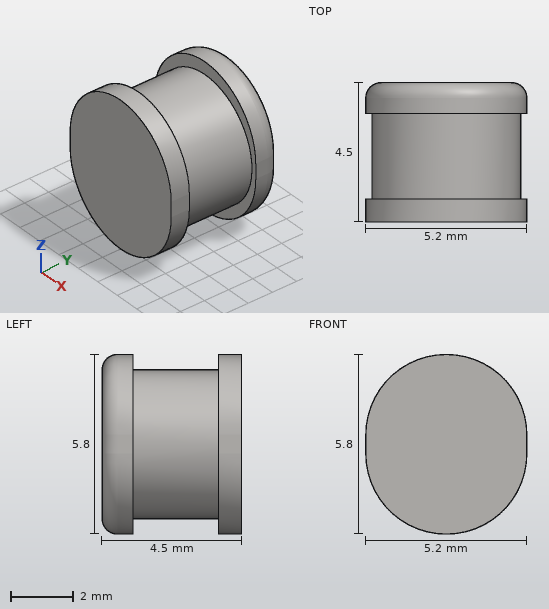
import cadquery as cq

flange_width = 5.2
flange_height = 5.8
total_length = 4.5

front_flange_thickness = 0.75
back_flange_thickness = 1.0
back_edge_radius = 0.5
core_diameter = 4.81

core_length = total_length - front_flange_thickness - back_flange_thickness
back_flange_start = front_flange_thickness + core_length


def profile_plane(y):
    """Sketch plane at station y, facing +Y, with its local x axis along Z."""
    return cq.Workplane(cq.Plane(origin=(0, y, 0), xDir=(0, 0, 1), normal=(0, 1, 0)))


def flange(y, thickness):
    """Obround plate, taller along Z than wide along X, from y towards +Y."""
    return profile_plane(y).slot2D(flange_height, flange_width).extrude(thickness)


def core():
    """Round neck joining the two flanges."""
    return profile_plane(front_flange_thickness).circle(core_diameter / 2).extrude(core_length)


front_flange = flange(0, front_flange_thickness)
back_flange = flange(back_flange_start, back_flange_thickness).faces(">Y").edges().fillet(back_edge_radius)

result = front_flange.union(core()).union(back_flange)